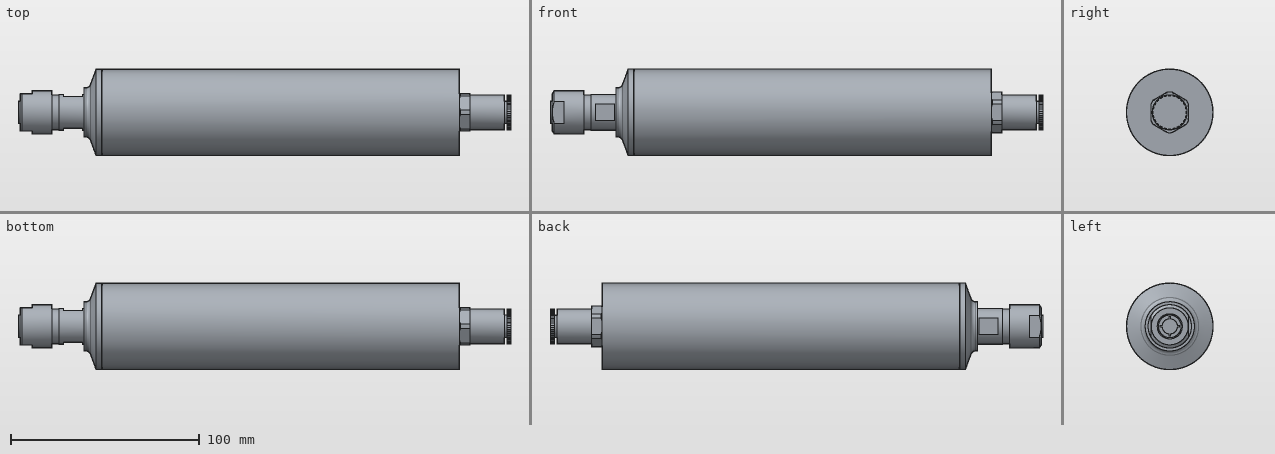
import cadquery as cq
import math

OVERALL_LENGTH = 261.3

COLLET_DIAMETER = 12.0
COLLET_BORE = 8.0
COLLET_BORE_DEPTH = 4.0
COLLET_SLOT_COUNT = 4
COLLET_SLOT_WIDTH = 0.8
COLLET_SLOT_OUTER_DIAMETER = 10.5

NUT_FRONT = 1.0
NUT_SHOULDER = 2.0
NUT_BACK = 17.8
NUT_DIAMETER = 23.0
NUT_FACE_DIAMETER = 19.5
NUT_MOUTH_DIAMETER = 13.3
NUT_MOUTH_DEPTH = 0.8
NUT_FLAT_END = 7.3
NUT_ACROSS_FLATS = 19.9

NECK_DIAMETER = 18.5
SPINDLE_START = 21.7
SPINDLE_DIAMETER = 19.0
SPINDLE_FLAT_START = 24.0
SPINDLE_FLAT_END = 34.0
SPINDLE_ACROSS_FLATS = 17.0

FLANGE_START = 34.7
FLANGE_DIAMETER = 26.0
FLANGE_END = 35.8
CONE_START = 38.5
CONE_START_DIAMETER = 30.5
CAP_RIM_START = 41.3

HOUSING_DIAMETER = 46.0
HOUSING_START = 44.5
HOUSING_END = 233.8
SEAM_GROOVE_DIAMETER = 43.6
SEAM_GROOVE_WIDTH = 0.3

HEX_END = 239.3
HEX_ACROSS_FLATS = 19.9
HEX_SIDES = 6
HEX_HALF_ANGLE = 180 / HEX_SIDES
HEX_CORNER_DIAMETER = 21.7
HEX_CORNER_CHAMFER = 0.5

FITTING_DIAMETER = 18.5
FITTING_END = 257.5
FITTING_NECK_DIAMETER = 12.0
RING_START = 259.0
RING_GROOVE_COUNT = 24
RING_GROOVE_WIDTH = 1.0
RING_GROOVE_DEPTH = 0.5


def cylinder(start, end, diameter):
    return cq.Workplane("YZ", origin=(start, 0, 0)).circle(diameter / 2).extrude(end - start)


def radial_bar(start, end, inner_radius, outer_radius, width, angle):
    """Bar along X reaching outwards from the axis at the given angle."""
    bar = cq.Workplane("XY").box(
        end - start, outer_radius - inner_radius, width, centered=(False, False, True)
    )
    return bar.translate((start, inner_radius, 0)).rotate((0, 0, 0), (1, 0, 0), angle)


def flats_cutter(start, end, across_flats):
    """Pair of blocks that leave two flats facing -Y and +Y."""
    length = end - start
    block = cq.Workplane("XY").box(length, HOUSING_DIAMETER, HOUSING_DIAMETER)
    offset = (across_flats + HOUSING_DIAMETER) / 2
    middle = start + length / 2
    return block.translate((middle, offset, 0)).union(block.translate((middle, -offset, 0)))


def turned_body():
    """Everything ahead of the rear face of the housing, turned about X."""
    profile = (
        cq.Workplane("XY")
        .moveTo(0, 0)
        .lineTo(0, COLLET_DIAMETER / 2)
        .lineTo(NUT_FRONT + NUT_MOUTH_DEPTH, COLLET_DIAMETER / 2)
        .lineTo(NUT_FRONT + NUT_MOUTH_DEPTH, NUT_MOUTH_DIAMETER / 2)
        .lineTo(NUT_FRONT, NUT_MOUTH_DIAMETER / 2)
        .lineTo(NUT_FRONT, NUT_FACE_DIAMETER / 2)
        .lineTo(NUT_SHOULDER, NUT_DIAMETER / 2)
        .lineTo(NUT_BACK, NUT_DIAMETER / 2)
        .lineTo(NUT_BACK, NECK_DIAMETER / 2)
        .lineTo(SPINDLE_START, NECK_DIAMETER / 2)
        .lineTo(SPINDLE_START, SPINDLE_DIAMETER / 2)
        .lineTo(FLANGE_START, SPINDLE_DIAMETER / 2)
        .lineTo(FLANGE_START, FLANGE_DIAMETER / 2)
        .lineTo(FLANGE_END, FLANGE_DIAMETER / 2)
        .tangentArcPoint((CONE_START, CONE_START_DIAMETER / 2), relative=False)
        .lineTo(CAP_RIM_START, HOUSING_DIAMETER / 2)
        .lineTo(HOUSING_START - SEAM_GROOVE_WIDTH, HOUSING_DIAMETER / 2)
        .lineTo(HOUSING_START - SEAM_GROOVE_WIDTH, SEAM_GROOVE_DIAMETER / 2)
        .lineTo(HOUSING_START, SEAM_GROOVE_DIAMETER / 2)
        .lineTo(HOUSING_START, HOUSING_DIAMETER / 2)
        .lineTo(HOUSING_END, HOUSING_DIAMETER / 2)
        .lineTo(HOUSING_END, 0)
        .close()
    )
    return profile.revolve(360, (0, 0, 0), (1, 0, 0))


def collet_opening():
    """Blind bore with radial clamping slots."""
    opening = cylinder(0, COLLET_BORE_DEPTH, COLLET_BORE)
    for index in range(COLLET_SLOT_COUNT):
        angle = index * 360 / COLLET_SLOT_COUNT
        slot = radial_bar(
            0, COLLET_BORE_DEPTH, 0, COLLET_SLOT_OUTER_DIAMETER / 2, COLLET_SLOT_WIDTH, angle
        )
        opening = opening.union(slot)
    return opening


def rear_hexagon():
    """Hexagon with flats facing Y, its corners turned off and chamfered towards the housing."""
    corner_circle = HEX_ACROSS_FLATS / math.cos(math.radians(HEX_HALF_ANGLE))
    hexagon = (
        cq.Workplane("YZ", origin=(HOUSING_END, 0, 0))
        .transformed(rotate=(0, 0, HEX_HALF_ANGLE))
        .polygon(HEX_SIDES, corner_circle)
        .extrude(HEX_END - HOUSING_END)
    )
    envelope = cylinder(HOUSING_END, HEX_END, HEX_CORNER_DIAMETER)
    return hexagon.intersect(envelope.faces("<X").chamfer(HEX_CORNER_CHAMFER))


def release_ring():
    """End ring with axial grip grooves around its rim."""
    ring = cylinder(RING_START, OVERALL_LENGTH, FITTING_DIAMETER)
    rim_radius = FITTING_DIAMETER / 2
    for index in range(RING_GROOVE_COUNT):
        angle = index * 360 / RING_GROOVE_COUNT
        groove = radial_bar(
            RING_START,
            OVERALL_LENGTH,
            rim_radius - RING_GROOVE_DEPTH,
            rim_radius + RING_GROOVE_DEPTH,
            RING_GROOVE_WIDTH,
            angle,
        )
        ring = ring.cut(groove)
    return ring


result = (
    turned_body()
    .cut(flats_cutter(0, NUT_FLAT_END, NUT_ACROSS_FLATS))
    .cut(flats_cutter(SPINDLE_FLAT_START, SPINDLE_FLAT_END, SPINDLE_ACROSS_FLATS))
    .cut(collet_opening())
    .union(rear_hexagon())
    .union(cylinder(HEX_END, FITTING_END, FITTING_DIAMETER))
    .union(cylinder(FITTING_END, RING_START, FITTING_NECK_DIAMETER))
    .union(release_ring())
)